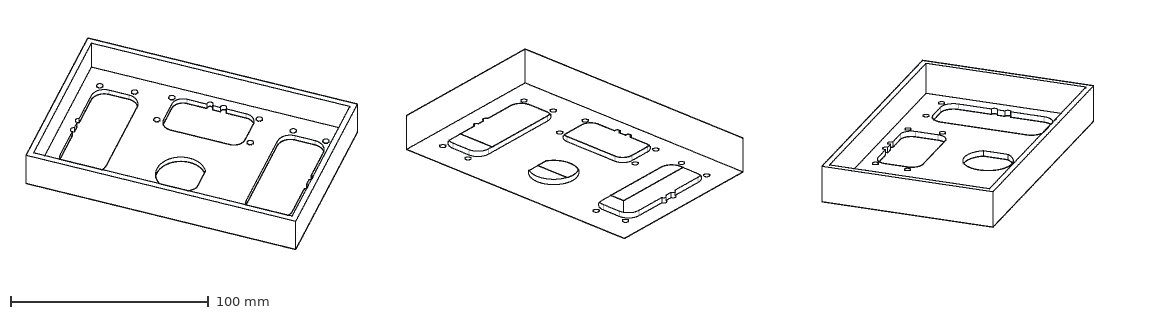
import cadquery as cq

length = 145.0
width = 92.5
height = 19.6
wall = 3.0
floor = 3.0

hole_diameter = 3.2
notch_offset = 3.6

side_window_width = 24.6
side_window_length = 60.2
side_window_radius = 7.0
side_window_x = 50.0
side_notch_x = 62.2
side_outer_hole = (60.8, 31.6)
side_inner_hole = (42.6, 33.2)

back_window_length = 43.8
back_window_width = 24.2
back_window_radius = 6.0
back_window_y = 25.0
back_notch_y = 37.5
back_upper_hole = (23.5, 35.7)
back_lower_hole = (25.1, 17.7)

round_radius = 12.8
round_y = -16.4
flat_x = 10.9


def floor_cutter(center, size_x, size_y, corner_radius):
    """Rounded rectangular cutter through the floor."""
    return (
        cq.Workplane("XY")
        .center(*center)
        .rect(size_x, size_y)
        .extrude(floor)
        .edges("|Z")
        .fillet(corner_radius)
    )


def cut_holes(body, points):
    """Drill round holes through the floor."""
    drills = cq.Workplane("XY").pushPoints(points).circle(hole_diameter / 2).extrude(floor)
    return body.cut(drills)


def make_tray():
    outer = cq.Workplane("XY").box(length, width, height, centered=(True, True, False))
    cavity = (
        cq.Workplane("XY")
        .workplane(offset=floor)
        .rect(length - 2 * wall, width - 2 * wall)
        .extrude(height - floor)
    )
    return outer.cut(cavity)


def cut_side_window(body, side):
    """Cut one tall window; side is -1 for left and 1 for right."""
    window = floor_cutter(
        (side * side_window_x, 0), side_window_width, side_window_length, side_window_radius
    )
    points = []
    for end in (-1, 1):
        points.append((side * side_notch_x, end * notch_offset))
        for x, y in (side_outer_hole, side_inner_hole):
            points.append((side * x, end * y))
    return cut_holes(body.cut(window), points)


def cut_back_window(body):
    window = floor_cutter(
        (0, back_window_y), back_window_length, back_window_width, back_window_radius
    )
    points = []
    for side in (-1, 1):
        points.append((side * notch_offset, back_notch_y))
        for x, y in (back_upper_hole, back_lower_hole):
            points.append((side * x, y))
    return cut_holes(body.cut(window), points)


def cut_round_opening(body):
    disc = cq.Workplane("XY").center(0, round_y).circle(round_radius).extrude(floor)
    flat_limit = (
        cq.Workplane("XY")
        .center(flat_x - round_radius, round_y)
        .rect(2 * round_radius, 2 * round_radius)
        .extrude(floor)
    )
    return body.cut(disc.intersect(flat_limit))


result = make_tray()
for side in (-1, 1):
    result = cut_side_window(result, side)
result = cut_back_window(result)
result = cut_round_opening(result)